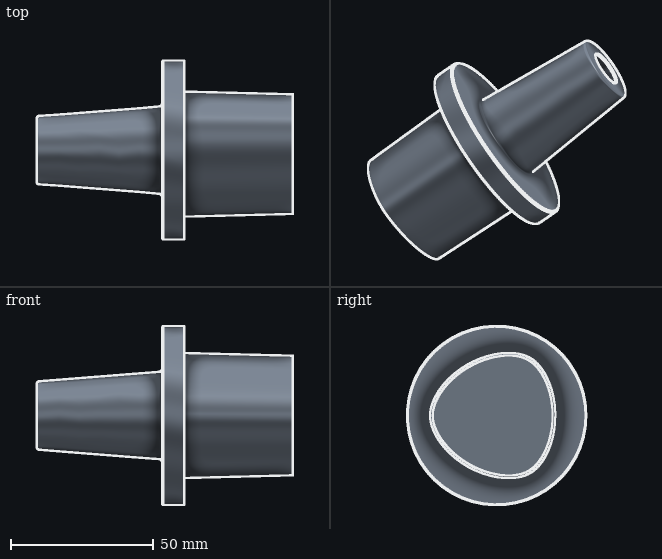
import cadquery as cq
import math

nose_length = 44.0
flange_width = 8.0
shank_length = 38.0
flange_start = nose_length
shank_start = flange_start + flange_width

nose_tip_diameter = 24.0
nose_half_angle = 4.5
nose_fillet = 1.0
nose_root_diameter = nose_tip_diameter + 2 * nose_length * math.tan(math.radians(nose_half_angle))

flange_diameter = 63.0
flange_nose_side_chamfer = 0.5
flange_shank_side_chamfer = 0.3

shank_root_width = 44.0
shank_taper = 1 / 20
shank_end_width = shank_root_width - shank_taper * shank_length
lobe_count = 3
lobe_offset = 1.4
outline_points = 72

bore_diameter = 12.0
bore_mouth_diameter = 12.6
bore_depth = nose_length
bore_mouth_half_angle = 30.0
bore_mouth_depth = (bore_mouth_diameter - bore_diameter) / 2 / math.tan(math.radians(bore_mouth_half_angle))


def make_nose():
    """Cone along X with a rounded tip edge."""
    cone = cq.Solid.makeCone(
        nose_tip_diameter / 2,
        nose_root_diameter / 2,
        nose_length,
        pnt=cq.Vector(0, 0, 0),
        dir=cq.Vector(1, 0, 0),
    )
    return cq.Workplane("XY").add(cone).faces("<X").edges().fillet(nose_fillet)


def make_flange():
    """Disc with both rim edges chamfered."""
    disc = cq.Workplane("YZ").workplane(offset=flange_start).circle(flange_diameter / 2).extrude(flange_width)
    disc = disc.faces("<X").edges().chamfer(flange_nose_side_chamfer)
    return disc.faces(">X").edges().chamfer(flange_shank_side_chamfer)


def fillet_nose_root(body):
    """Round the inner corner where the nose meets the flange."""
    margin = nose_fillet / 2
    corner = cq.selectors.BoxSelector(
        (flange_start - margin, -nose_root_diameter, -nose_root_diameter),
        (flange_start + margin, nose_root_diameter, nose_root_diameter),
        boundingbox=True,
    )
    root_edges = [
        edge
        for edge in body.edges(corner).vals()
        if edge.BoundingBox().zmax < (nose_root_diameter + nose_fillet) / 2
    ]
    return body.newObject(root_edges).fillet(nose_fillet)


def shank_outline_points(width):
    """Return points around the polygon curve of a given width as (Y, Z) pairs."""
    points = []
    for index in range(outline_points):
        angle = 2 * math.pi * index / outline_points
        reach = width / 2 + lobe_offset * math.cos(lobe_count * angle)
        reach_slope = -lobe_count * lobe_offset * math.sin(lobe_count * angle)
        along_lobe = reach * math.cos(angle) - reach_slope * math.sin(angle)
        across_lobe = reach * math.sin(angle) + reach_slope * math.cos(angle)
        points.append((-along_lobe, -across_lobe))
    return points


def make_shank():
    """Loft between the polygon outlines at the flange and at the free end."""
    return (
        cq.Workplane("YZ")
        .workplane(offset=shank_start)
        .spline(shank_outline_points(shank_root_width), periodic=True, makeWire=True)
        .workplane(offset=shank_length)
        .spline(shank_outline_points(shank_end_width), periodic=True, makeWire=True)
        .loft(ruled=True)
    )


def make_bore():
    """Cutter for the blind bore, with a short conical lead-in at its mouth."""
    return (
        cq.Workplane("XY")
        .moveTo(0, 0)
        .lineTo(0, bore_mouth_diameter / 2)
        .lineTo(bore_mouth_depth, bore_diameter / 2)
        .lineTo(bore_depth, bore_diameter / 2)
        .lineTo(bore_depth, 0)
        .close()
        .revolve(360, (0, 0, 0), (1, 0, 0))
    )


body = make_nose().union(make_flange())
body = fillet_nose_root(body)
result = body.union(make_shank()).cut(make_bore())